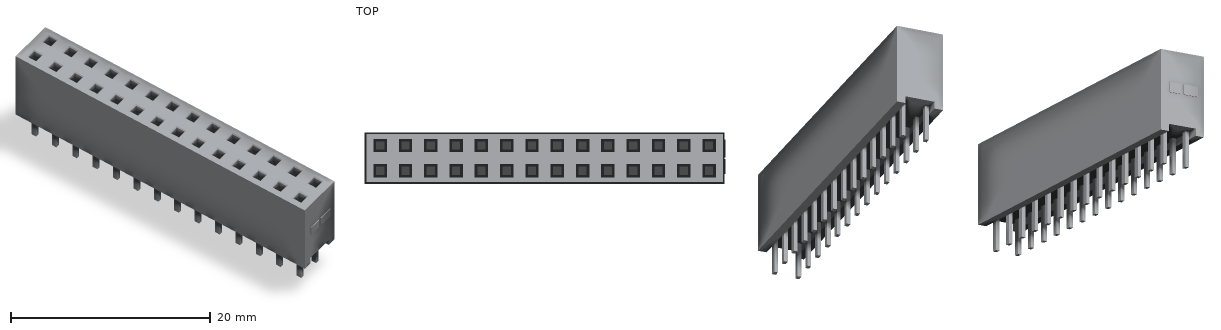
import cadquery as cq

overall_length = 36.07
body_width = 5.0
overall_height = 11.5

columns = 14
rows = 2
column_span = 33.0
column_pitch = column_span / (columns - 1)
row_pitch = column_pitch

body_length = 36.0
body_height = 8.5

channel_width = 3.15
channel_depth = 0.75

mouth_size = 1.2
socket_size = 0.97
lead_in_depth = 0.1
socket_depth = 5.77

pin_length_x = 0.58
pin_width_y = 0.4
pin_drop = overall_height - body_height
pin_root = 0.35

pad_thickness = overall_length - body_length
pad_height = 1.1
pad_center_z = 4.65
front_pad_width = 1.35
rear_pad_width = 1.62
front_pad_y = -0.83
rear_pad_y = 0.97


def contact_points():
    """Plan position of every contact, centred on the housing."""
    points = []
    for row in range(rows):
        for column in range(columns):
            x = (column - (columns - 1) / 2) * column_pitch
            y = (row - (rows - 1) / 2) * row_pitch
            points.append((x, y))
    return points


def make_housing():
    """Plain block with the channel cut through its underside."""
    block = cq.Workplane("XY").box(body_length, body_width, body_height, centered=(True, True, False))
    channel = cq.Workplane("XY").box(body_length, channel_width, channel_depth, centered=(True, True, False))
    return block.cut(channel)


def make_sockets():
    """Square blind holes, each with a pyramidal lead-in."""
    holes = (
        cq.Workplane("XY", origin=(0, 0, body_height - socket_depth))
        .pushPoints(contact_points())
        .rect(socket_size, socket_size)
        .extrude(socket_depth)
    )
    lead_in = (
        cq.Workplane("XY", origin=(0, 0, body_height - lead_in_depth))
        .rect(socket_size, socket_size)
        .workplane(offset=lead_in_depth)
        .rect(mouth_size, mouth_size)
        .loft(combine=True)
    )
    for x, y in contact_points():
        holes = holes.add(lead_in.translate((x, y, 0)))
    return holes.combine()


def make_pins():
    """Rectangular pins rooted in the housing above the channel."""
    return (
        cq.Workplane("XY", origin=(0, 0, -pin_drop))
        .pushPoints(contact_points())
        .rect(pin_length_x, pin_width_y)
        .extrude(pin_drop + channel_depth + pin_root)
    )


def make_pad(center_y, width):
    """Thin raised rectangle on the +X end face."""
    return (
        cq.Workplane("YZ", origin=(body_length / 2, center_y, pad_center_z))
        .rect(width, pad_height)
        .extrude(pad_thickness)
    )


result = make_housing().cut(make_sockets()).union(make_pins())
result = result.union(make_pad(front_pad_y, front_pad_width))
result = result.union(make_pad(rear_pad_y, rear_pad_width))